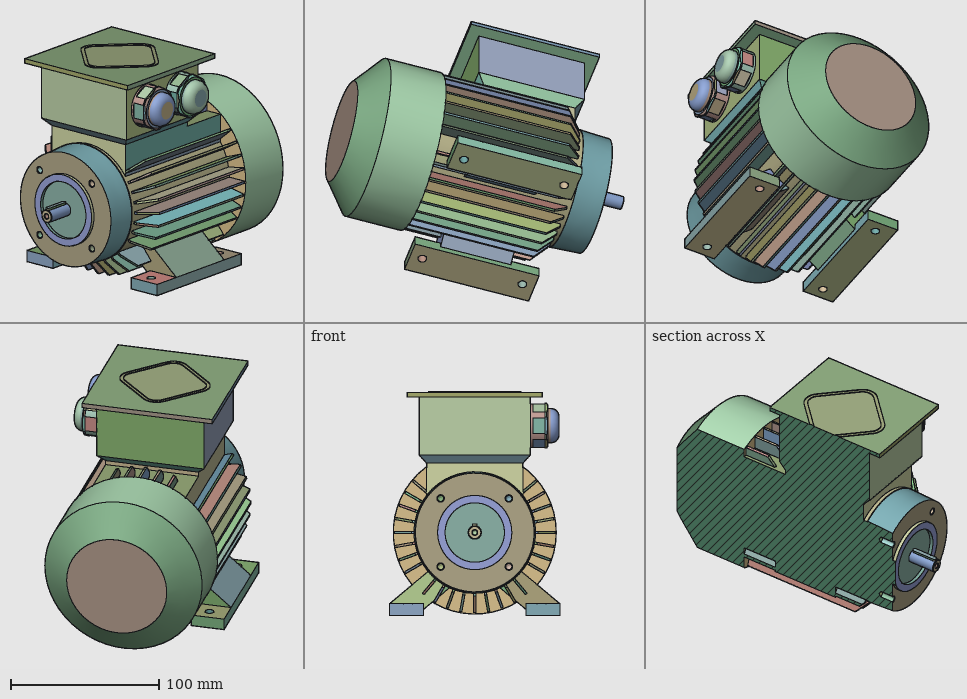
import cadquery as cq
import math


FLANGE_BACK = 21.0
BODY_START = 24.0
COVER_START = 123.0
COVER_SHOULDER = 162.0
COVER_END = 179.0

CORE_RADIUS = 40.5
COVER_RADIUS = 110 / 2
COVER_END_RADIUS = 35.0
FLANGE_FACE_RADIUS = 40.0
FLANGE_BACK_RADIUS = 82 / 2
SPIGOT_RADIUS = 50 / 2
SPIGOT_HEIGHT = 2.5
RECESS_RADIUS = 40 / 2
RECESS_DEPTH = 2.5
FLANGE_BOLT_CIRCLE = 65.0
FLANGE_TAP_DIAMETER = 4.13
FLANGE_THREAD_DIAMETER = 5.0
FLANGE_TAP_DEPTH = 10.0
DRILL_POINT_ANGLE = 118.0

SHAFT_RADIUS = 9 / 2
SHAFT_LENGTH = 20.0
SHAFT_EMBEDMENT = 1.0
SHAFT_CHAMFER = 0.4
SHAFT_TAP_DIAMETER = 3.24
SHAFT_THREAD_DIAMETER = 4.0
SHAFT_TAP_DEPTH = 9.0
KEY_WIDTH = 3.0
KEY_TOP = 5.7
KEY_TIP_GAP = 0.5
KEY_LENGTH = 19.0

FIN_THICKNESS = 1.5
FIN_RADIUS = 54.0
FIN_FRONT_RADIUS = 42.7
FIN_TAPER_LENGTH = 10.0
FIN_PITCH_ANGLE = 10
SIDE_FIN_FIRST = -30
SIDE_FIN_LAST = 40
BOTTOM_FIN_FIRST = -130
BOTTOM_FIN_LAST = -50
TOP_FIN_PITCH = 10.0
TOP_FINS_PER_SIDE = 2
TOP_FIN_START = 99.0
TOP_FIN_CHAMFER = 6.0

NECK_WIDTH = 65.0
BOX_CENTRE_Y = BODY_START + NECK_WIDTH / 2
NECK_TOP = 46.7
SADDLE_TOP = 43.7
BOX_WIDTH = 75.0
BOX_BOTTOM = 52.2
LID_WIDTH = 91.0
LID_BOTTOM = 91.3
LID_TOP = 94.5
FRAME_WIDTH = 50.0
FRAME_CORNER_RADIUS = 10.0
FRAME_BAND = 2.5
FRAME_HEIGHT = 0.5

GLAND_Z = 72.0
GLAND_SPACING = 35.0
GLAND_BODY_DIAMETER = 29.5
GLAND_BODY_FLATS = 27.5
GLAND_COLLAR_LENGTH = 1.6
GLAND_FLATS_LENGTH = 8.3
GLAND_NUT_FLATS = 28.0
GLAND_NUT_LENGTH = 2.1
GLAND_NUT_RIM = 1.1
GLAND_NUT_RIM_RADIUS = 15.2
GLAND_NUT_END_RADIUS = 13.4
GLAND_CAP_RADIUS = 23.26 / 2
GLAND_CAP_LENGTH = 7.4
GLAND_CAP_ROUND = 5.6

SHAFT_HEIGHT = 56.0
FOOT_SPAN = 115.0
FOOT_PLATE_WIDTH = 23.0
FOOT_PLATE_LENGTH = 88.0
FOOT_PLATE_HEIGHT = 8.0
FOOT_CENTRE_Y = 71.5
FOOT_HOLE_DIAMETER = 5.8
FOOT_HOLE_SPACING_X = 90.0
FOOT_HOLE_SPACING_Y = 71.0
FOOT_WEB_LENGTH = 50.0
FOOT_WEB_CENTRE_Y = 72.5
FOOT_WEB_THICKNESS = 17.7


def revolve_about_shaft(profile):
    """Solid of revolution about Y from (radius, y) points."""
    return cq.Workplane("XY").polyline(profile).close().revolve(360, (0, 0, 0), (0, 1, 0))


def block(width, depth, bottom, top, centre_y, centre_x=0):
    """Box centred on (centre_x, centre_y), standing between two heights."""
    return (
        cq.Workplane("XY", origin=(centre_x, centre_y, bottom))
        .rect(width, depth)
        .extrude(top - bottom)
    )


def housing():
    """Flange, stator core and fan cover as one turned solid."""
    return revolve_about_shaft([
        (0, 0),
        (FLANGE_FACE_RADIUS, 0),
        (FLANGE_BACK_RADIUS, FLANGE_BACK),
        (CORE_RADIUS, FLANGE_BACK),
        (CORE_RADIUS, COVER_START),
        (COVER_RADIUS, COVER_START),
        (COVER_RADIUS, COVER_SHOULDER),
        (COVER_END_RADIUS, COVER_END),
        (0, COVER_END),
    ])


def spigot():
    """Centring ring on the flange face."""
    return cq.Workplane("XZ").circle(SPIGOT_RADIUS).extrude(SPIGOT_HEIGHT)


def spigot_recess():
    """Round recess inside the centring ring."""
    return (
        cq.Workplane("XZ", origin=(0, -SPIGOT_HEIGHT, 0))
        .circle(RECESS_RADIUS)
        .extrude(-RECESS_DEPTH)
    )


def tapped_hole(x, z, face_y, tap_diameter, thread_diameter, depth):
    """Blind drilled hole towards +Y with a 45 degree countersink and a drill point."""
    tap_radius = tap_diameter / 2
    mouth_radius = thread_diameter / 2
    point_length = tap_radius / math.tan(math.radians(DRILL_POINT_ANGLE / 2))
    cutter = revolve_about_shaft([
        (0, 0),
        (mouth_radius, 0),
        (tap_radius, mouth_radius - tap_radius),
        (tap_radius, depth),
        (0, depth + point_length),
    ])
    return cutter.translate((x, face_y, z))


def flange_holes():
    """Four tapped holes on the diagonals of the flange."""
    offset = FLANGE_BOLT_CIRCLE / 2 * math.cos(math.radians(45))
    holes = cq.Workplane("XY")
    for x in (-offset, offset):
        for z in (-offset, offset):
            hole = tapped_hole(
                x, z, 0, FLANGE_TAP_DIAMETER, FLANGE_THREAD_DIAMETER, FLANGE_TAP_DEPTH
            )
            holes = holes.add(hole)
    return holes.combine()


def shaft():
    """Shaft end with its round-ended key and tapped centre hole."""
    root_y = RECESS_DEPTH - SPIGOT_HEIGHT + SHAFT_EMBEDMENT
    bar = (
        cq.Workplane("XZ", origin=(0, root_y, 0))
        .circle(SHAFT_RADIUS)
        .extrude(SHAFT_LENGTH + root_y)
        .faces("<Y")
        .chamfer(SHAFT_CHAMFER)
    )
    key_centre_y = -SHAFT_LENGTH + KEY_TIP_GAP + KEY_LENGTH / 2
    key = (
        cq.Workplane("XY", origin=(0, key_centre_y, 0))
        .slot2D(KEY_LENGTH, KEY_WIDTH, 90)
        .extrude(KEY_TOP)
    )
    centre_hole = tapped_hole(
        0, 0, -SHAFT_LENGTH, SHAFT_TAP_DIAMETER, SHAFT_THREAD_DIAMETER, SHAFT_TAP_DEPTH
    )
    return bar.union(key).cut(centre_hole)


def radial_fins():
    """Fins on both sides and underneath, tapered towards the flange."""
    profile = [
        (0, BODY_START),
        (FIN_FRONT_RADIUS, BODY_START),
        (FIN_RADIUS, BODY_START + FIN_TAPER_LENGTH),
        (FIN_RADIUS, COVER_START),
        (0, COVER_START),
    ]
    right_side = list(range(SIDE_FIN_FIRST, SIDE_FIN_LAST + 1, FIN_PITCH_ANGLE))
    left_side = [180 - angle for angle in right_side]
    bottom = list(range(BOTTOM_FIN_FIRST, BOTTOM_FIN_LAST + 1, FIN_PITCH_ANGLE))
    fin = (
        cq.Workplane("XY", origin=(0, 0, -FIN_THICKNESS / 2))
        .polyline(profile)
        .close()
        .extrude(FIN_THICKNESS)
    )
    return [fin.rotate((0, 0, 0), (0, 1, 0), -angle) for angle in right_side + left_side + bottom]


def top_fins():
    """Upright parallel fins between the terminal box and the fan cover."""
    envelope = revolve_about_shaft([
        (0, TOP_FIN_START),
        (FIN_RADIUS - TOP_FIN_CHAMFER, TOP_FIN_START),
        (FIN_RADIUS, TOP_FIN_START + TOP_FIN_CHAMFER),
        (FIN_RADIUS, COVER_START),
        (0, COVER_START),
    ])
    length = COVER_START - TOP_FIN_START
    centre_y = (COVER_START + TOP_FIN_START) / 2
    fins = []
    for index in range(-TOP_FINS_PER_SIDE, TOP_FINS_PER_SIDE + 1):
        plate = block(FIN_THICKNESS, length, 0, FIN_RADIUS, centre_y, index * TOP_FIN_PITCH)
        fins.append(plate.intersect(envelope))
    return fins


def terminal_box():
    """Saddle along the body, neck, flared transition, box, lid and lid frame."""
    neck = block(NECK_WIDTH, NECK_WIDTH, 0, NECK_TOP, BOX_CENTRE_Y)
    flare = (
        cq.Workplane("XY", origin=(0, BOX_CENTRE_Y, NECK_TOP))
        .rect(NECK_WIDTH, NECK_WIDTH)
        .workplane(offset=BOX_BOTTOM - NECK_TOP)
        .rect(BOX_WIDTH, BOX_WIDTH)
        .loft(ruled=True)
    )
    box = block(BOX_WIDTH, BOX_WIDTH, BOX_BOTTOM, LID_BOTTOM, BOX_CENTRE_Y)
    lid = block(LID_WIDTH, LID_WIDTH, LID_BOTTOM, LID_TOP, BOX_CENTRE_Y)
    saddle_length = COVER_START - BODY_START
    saddle = block(NECK_WIDTH, saddle_length, 0, SADDLE_TOP, BODY_START + saddle_length / 2)
    return saddle.union(neck).union(flare).union(box).union(lid).union(lid_frame())


def lid_frame():
    """Raised rounded-square band, turned 45 degrees, on the lid."""
    frame_top = LID_TOP + FRAME_HEIGHT
    outer = block(FRAME_WIDTH, FRAME_WIDTH, LID_TOP, frame_top, 0)
    outer = outer.edges("|Z").fillet(FRAME_CORNER_RADIUS)
    inner_width = FRAME_WIDTH - 2 * FRAME_BAND
    inner = block(inner_width, inner_width, LID_TOP, frame_top, 0)
    inner = inner.edges("|Z").fillet(FRAME_CORNER_RADIUS - FRAME_BAND)
    frame = outer.cut(inner).rotate((0, 0, 0), (0, 0, 1), 45)
    return frame.translate((0, BOX_CENTRE_Y, 0))


def hexagon(start_x, length, across_flats):
    """Hexagonal prism along +X with two flats facing +Y and -Y."""
    across_corners = across_flats / math.cos(math.radians(30))
    prism = cq.Workplane("YZ").polygon(6, across_corners).extrude(length)
    return prism.rotate((0, 0, 0), (1, 0, 0), 30).translate((start_x, 0, 0))


def cable_gland():
    """Gland along +X from X = 0: collar, wrench flats, nut and rounded cap."""
    flats_end = GLAND_COLLAR_LENGTH + GLAND_FLATS_LENGTH
    nut_end = flats_end + GLAND_NUT_LENGTH
    cap_end = nut_end + GLAND_CAP_LENGTH
    collar = cq.Workplane("YZ").circle(GLAND_BODY_DIAMETER / 2).extrude(GLAND_COLLAR_LENGTH)
    barrel = cq.Workplane("YZ").circle(GLAND_BODY_DIAMETER / 2).extrude(flats_end)
    body = hexagon(GLAND_COLLAR_LENGTH, GLAND_FLATS_LENGTH, GLAND_BODY_FLATS).intersect(barrel)
    nut_envelope = (
        cq.Workplane("XY")
        .polyline([
            (flats_end, 0),
            (flats_end, GLAND_NUT_RIM_RADIUS),
            (flats_end + GLAND_NUT_RIM, GLAND_NUT_RIM_RADIUS),
            (nut_end, GLAND_NUT_END_RADIUS),
            (nut_end, 0),
        ])
        .close()
        .revolve(360, (0, 0, 0), (1, 0, 0))
    )
    nut = hexagon(flats_end, GLAND_NUT_LENGTH, GLAND_NUT_FLATS).intersect(nut_envelope)
    cap = cq.Workplane("YZ").circle(GLAND_CAP_RADIUS).extrude(cap_end)
    cap = cap.faces(">X").edges().fillet(GLAND_CAP_ROUND)
    return collar.union(body).union(nut).union(cap)


def foot():
    """Foot on the +X side: base plate with two holes and an inclined web."""
    outer_x = FOOT_SPAN / 2
    inner_x = outer_x - FOOT_PLATE_WIDTH
    plate_top = -SHAFT_HEIGHT + FOOT_PLATE_HEIGHT
    plate = block(
        FOOT_PLATE_WIDTH, FOOT_PLATE_LENGTH, -SHAFT_HEIGHT, plate_top,
        FOOT_CENTRE_Y, (outer_x + inner_x) / 2,
    )
    web_slope = plate_top / outer_x
    lower_z = -FOOT_WEB_THICKNESS * math.sqrt(1 + web_slope ** 2)
    web = (
        cq.Workplane("XZ", origin=(0, FOOT_WEB_CENTRE_Y, 0))
        .polyline([
            (0, 0),
            (outer_x, plate_top),
            (inner_x, lower_z + inner_x * web_slope),
            (0, lower_z),
        ])
        .close()
        .extrude(FOOT_WEB_LENGTH / 2, both=True)
    )
    hole_offset = FOOT_HOLE_SPACING_Y / 2
    holes = (
        cq.Workplane("XY", origin=(FOOT_HOLE_SPACING_X / 2, FOOT_CENTRE_Y, -SHAFT_HEIGHT))
        .pushPoints([(0, -hole_offset), (0, hole_offset)])
        .circle(FOOT_HOLE_DIAMETER / 2)
        .extrude(FOOT_PLATE_HEIGHT)
    )
    return plate.union(web).cut(holes)


result = housing().union(spigot())
result = result.cut(spigot_recess()).cut(flange_holes()).union(shaft())

for fin in radial_fins() + top_fins():
    result = result.union(fin)

result = result.union(terminal_box())

for side in (-1, 1):
    gland_y = BOX_CENTRE_Y + side * GLAND_SPACING / 2
    result = result.union(cable_gland().translate((BOX_WIDTH / 2, gland_y, GLAND_Z)))

right_foot = foot()
result = result.union(right_foot).union(right_foot.mirror("YZ"))